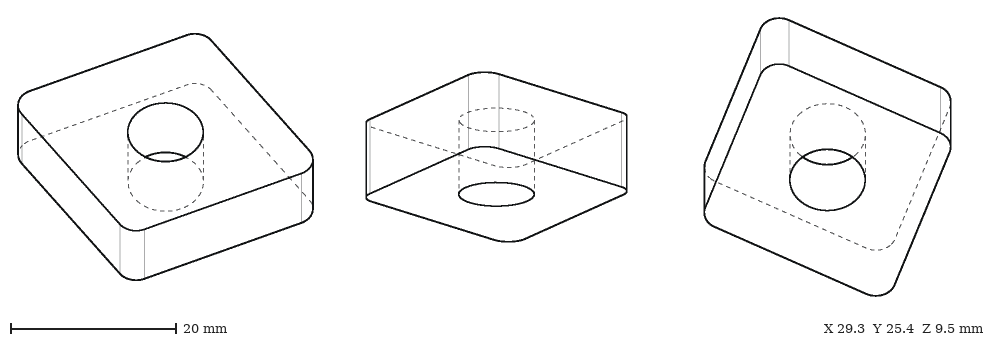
import cadquery as cq
import math

length = 29.35
thickness = 9.5
corner_angle = math.radians(80)
corner_radius = 2.4
hole_diameter = 9.13

straight_side = (length - 2 * corner_radius) / (1 + math.cos(corner_angle))
width = straight_side * math.sin(corner_angle) + 2 * corner_radius

sharp_side = width / math.sin(corner_angle)
half_width = width / 2
half_side = sharp_side / 2
half_lean = sharp_side * math.cos(corner_angle) / 2


def rhombic_body():
    """Plate with a leaning rhombus outline and four rounded upright edges."""
    corners = [
        (-half_side - half_lean, -half_width),
        (half_side - half_lean, -half_width),
        (half_side + half_lean, half_width),
        (-half_side + half_lean, half_width),
    ]
    plate = cq.Workplane("XY").polyline(corners).close().extrude(thickness)
    return plate.edges("|Z").fillet(corner_radius)


result = rhombic_body().faces(">Z").workplane(origin=(0, 0, thickness)).hole(hole_diameter)